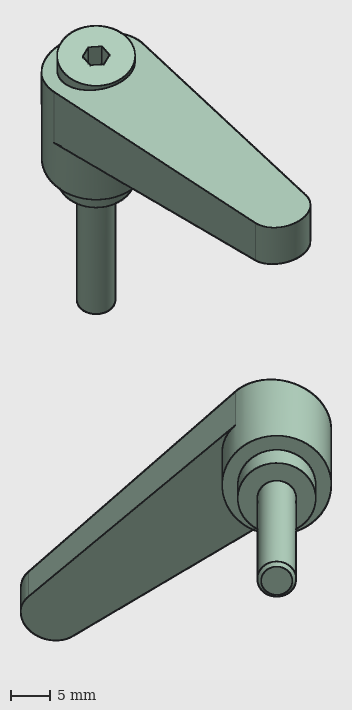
import cadquery as cq
import math

hub_radius = 7.0
hub_bottom = 4.0
collar_radius = 5.0
stud_radius = 2.5
stud_length = 25.0
stud_chamfer = 0.5
cap_top = 24.5

total_length = 51.99
top_tip_height = 35.69
top_rear_height = 20.4
tip_radius = 4.0
tip_x = total_length - hub_radius
tip_center_x = tip_x - tip_radius
tip_thickness = 7.3
underside_root_height = 12.35

socket_across_flats = 3.0
socket_depth = 4.0
socket_corner_diameter = socket_across_flats / math.cos(math.pi / 6)
drill_point_angle = 120.0

flank_sine = (hub_radius - tip_radius) / tip_center_x
flank_cosine = math.sqrt(1 - flank_sine**2)
flank_root_x = hub_radius * flank_sine
flank_root_y = hub_radius * flank_cosine
flank_end_x = tip_center_x + tip_radius * flank_sine
flank_end_y = tip_radius * flank_cosine


def cylinder(radius, bottom, top):
    return cq.Workplane("XY").workplane(offset=bottom).circle(radius).extrude(top - bottom)


def side_prism(points):
    """Extrude an XZ outline across the full width of the hub."""
    return cq.Workplane("XZ").polyline(points).close().extrude(hub_radius, both=True)


def make_hub():
    below_slope = side_prism([
        (-hub_radius, hub_bottom),
        (tip_x, hub_bottom),
        (tip_x, top_tip_height),
        (-hub_radius, top_rear_height),
    ])
    return cylinder(hub_radius, hub_bottom, top_tip_height).intersect(below_slope)


def make_arm():
    plan = (
        cq.Workplane("XY")
        .moveTo(flank_root_x, -flank_root_y)
        .lineTo(flank_end_x, -flank_end_y)
        .threePointArc((tip_x, 0), (flank_end_x, flank_end_y))
        .lineTo(flank_root_x, flank_root_y)
        .close()
        .extrude(top_tip_height)
    )
    top_slope = (top_tip_height - top_rear_height) / total_length
    top_root_height = top_rear_height + top_slope * (hub_radius + flank_root_x)
    profile = side_prism([
        (flank_root_x, underside_root_height),
        (tip_x, top_tip_height - tip_thickness),
        (tip_x, top_tip_height),
        (flank_root_x, top_root_height),
    ])
    return plan.intersect(profile)


def make_spindle():
    """Stud, collar and protruding cap as one stepped shaft."""
    stud = cylinder(stud_radius, -stud_length, 0).faces("<Z").chamfer(stud_chamfer)
    return stud.union(cylinder(collar_radius, 0, cap_top))


def make_socket():
    """Hexagon pocket whose conical floor runs out to the hexagon's corners."""
    tip_half_angle = math.radians(drill_point_angle / 2)
    point_depth = socket_corner_diameter / 2 / math.tan(tip_half_angle)
    full_depth = socket_depth + point_depth
    apex_height = cap_top - full_depth
    hexagon = (
        cq.Workplane("XY")
        .workplane(offset=apex_height)
        .polygon(6, socket_corner_diameter)
        .extrude(full_depth)
    )
    cone = (
        cq.Workplane("XZ")
        .moveTo(0, apex_height)
        .lineTo(full_depth * math.tan(tip_half_angle), cap_top)
        .lineTo(0, cap_top)
        .close()
        .revolve(360, (0, 0), (0, 1))
    )
    return hexagon.intersect(cone)


result = make_hub().union(make_arm()).union(make_spindle()).cut(make_socket())